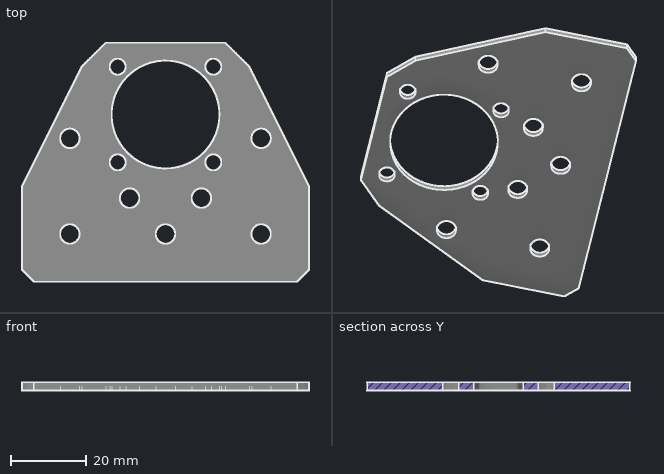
import cadquery as cq

width = 76.2
depth = 63.5
thickness = 2.3
half_width = width / 2
corner_chamfer = 3.2
side_top = 25.4
shoulder_half_width = 22.25
shoulder_drop = 6.3
back_half_width = 15.85

bore_diameter = 28.6
bore_y = 44.4
screw_diameter = 4.2
screw_spacing = 25.4

mount_diameter = 5.1
outer_mount_x = 25.4
inner_mount_x = 9.5
front_row_y = 12.7
middle_row_y = 22.25
back_row_y = 38.1

right_side = [
    (half_width - corner_chamfer, 0),
    (half_width, corner_chamfer),
    (half_width, side_top),
    (shoulder_half_width, depth - shoulder_drop),
    (back_half_width, depth),
]
left_side = [(-x, y) for x, y in reversed(right_side)]
plate = cq.Workplane("XY").polyline(right_side + left_side).close().extrude(thickness)


def through_holes(centers, diameter):
    """Cylinders that pass through the plate at the given centers."""
    return cq.Workplane("XY").pushPoints(centers).circle(diameter / 2).extrude(thickness)


screw_offset = screw_spacing / 2
screw_centers = [
    (side_x * screw_offset, bore_y + side_y * screw_offset)
    for side_x in (-1, 1)
    for side_y in (-1, 1)
]

mount_centers = [(0, front_row_y)]
for x, y in [
    (outer_mount_x, front_row_y),
    (inner_mount_x, middle_row_y),
    (outer_mount_x, back_row_y),
]:
    mount_centers += [(-x, y), (x, y)]

result = (
    plate
    .cut(through_holes([(0, bore_y)], bore_diameter))
    .cut(through_holes(screw_centers, screw_diameter))
    .cut(through_holes(mount_centers, mount_diameter))
)